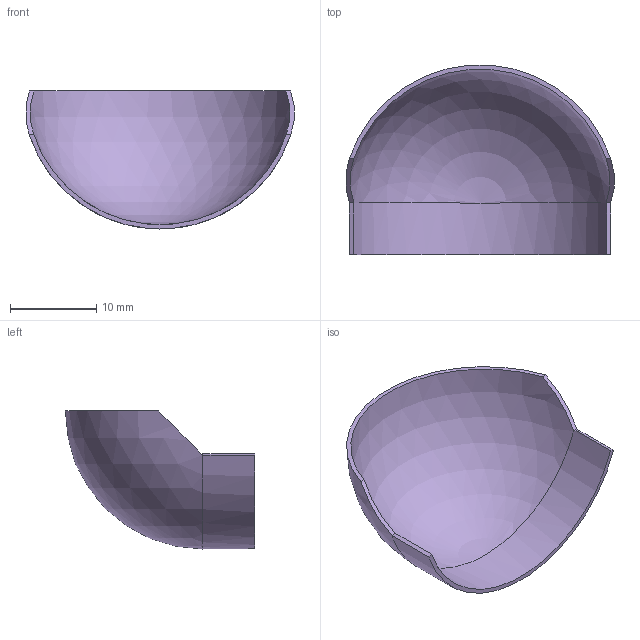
import cadquery as cq
import math

outer_radius = 16.0
wall = 0.5
skirt_length = 6.0
notch_leg = 5.13

inner_radius = outer_radius - wall
rim_angle = math.asin(notch_leg / outer_radius)
reach = 2 * outer_radius


def prism_along_x(points):
    """Prism across the full width from an outline of (y, z) points."""
    return cq.Workplane("YZ").polyline(points).close().extrude(reach, both=True)


def make_dome():
    """Quarter of a spherical shell with its corner cut off at 45 degrees."""
    shell = cq.Workplane("XY").sphere(outer_radius).cut(cq.Workplane("XY").sphere(inner_radius))
    kept_region = prism_along_x([
        (notch_leg, 0),
        (reach, 0),
        (reach, -reach),
        (0, -reach),
        (0, -notch_leg),
    ])
    return shell.intersect(kept_region)


def make_skirt():
    """Partial cylindrical wall along -Y whose two long edges are cut radially."""
    edge_x = reach * math.cos(rim_angle)
    edge_z = -reach * math.sin(rim_angle)
    tube = cq.Workplane("XZ").circle(outer_radius).circle(inner_radius).extrude(skirt_length)
    sector = (
        cq.Workplane("XZ")
        .polyline([(0, 0), (edge_x, edge_z), (edge_x, -reach), (-edge_x, -reach), (-edge_x, edge_z)])
        .close()
        .extrude(skirt_length)
    )
    return tube.intersect(sector)


result = make_dome().union(make_skirt())